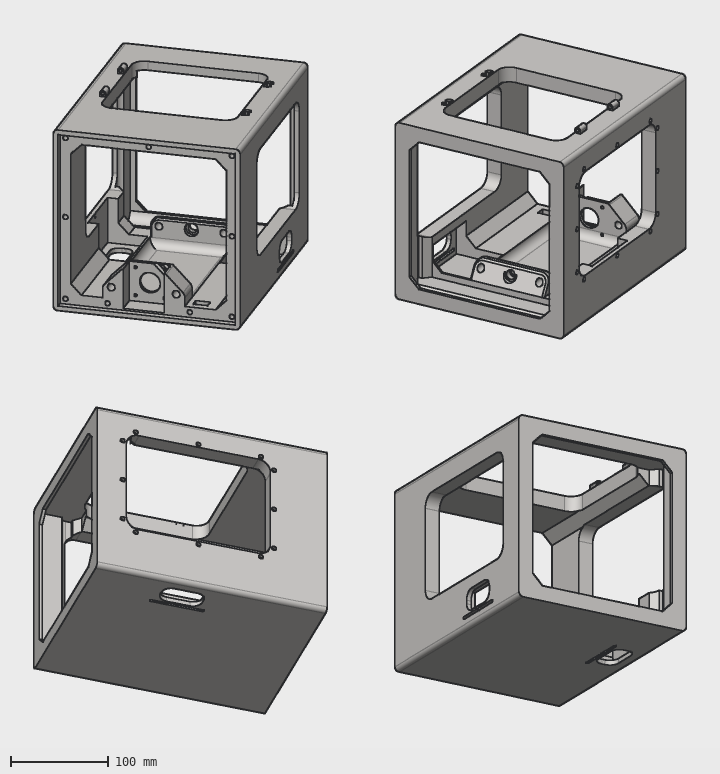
import cadquery as cq

WIDTH, LENGTH, HEIGHT = 200.0, 250.0, 200.0
EDGE_ROUND = 5.0
WALL = 16.8
SKIN = 5.2
TUNNEL_CHAMFER = 11.5
FRONT_RECESS = 7.5

CHAMBER_START = 203.5
CHAMBER_END = 246.2
CHAMBER_WALL = 11.0
CHAMBER_ROOF = 10.0
CHAMBER_FLARE = 7.5
RELIEF_END = 223.0
RELIEF_ROUND = 5.5
CHAMBER_FLOOR = 9.5
GROOVE_START, GROOVE_LOW_Y = 225.8, 233.5
GROOVE_DEPTH = 2.5

WINDOW_ROUND = 13.5
TOP_WINDOW = (145.0, 134.5)
TOP_WINDOW_Y = 140.8
SIDE_WINDOW = (156.5, 117.5)
SIDE_Y, SIDE_Z = 140.0, 113.8
SIDE_SCREW_DIA = 4.8
SIDE_SCREW_DEPTH = 4.5
SIDE_ROW_PITCH, SIDE_ROW_Z = 68.0, 62.5
SIDE_COLUMN_PITCH, SIDE_COLUMN_Y = 48.8, 82.2

FRAME_SCREW_DIA = 5.2
FRAME_SCREW_DEPTH = 12.5
FRAME_SCREW_EDGE = 11.0
FRAME_MID_LEFT_Z = 101.5
FRAME_LOW_SPAN = 88.0

AXIS_X, AXIS_Z = 94.8, 29.2
DRIVE_WIDTH = 88.0
ROD_SPACING = 69.5
ROD_DIA = 8.0

MOUNT_END = 34.5
MOUNT_TOP = 50.8
MOUNT_TOP_WIDTH = 46.0
MOUNT_CORNER_ROUND = 7.5
MOUNT_TOP_ROUND = 2.5
MOTOR_WIDTH = 43.8
MOTOR_POCKET_FLOOR = 7.2
MOTOR_FACE_Y = 30.5
MOTOR_BOSS_DIA = 22.0
MOTOR_SCREW_DIA = 3.0
MOTOR_SCREW_SPACING = 31.0
CORNER_GROOVE_DIA = 4.0
CORNER_GROOVE_OFFSETS = (20.0, 26.8)

BLOCK_START = 182.8
BLOCK_TOP = 38.0
BLOCK_ROUND = 9.5
BLOCK_BEVEL = 1.8
BLOCK_RIDGE_END = 191.2
BLOCK_BACK_BEVEL = 2.0
SCREW_BORE = 10.0
BEARING_BORE = 14.5
BEARING_WEB = (188.0, 195.2)

TROUGH_DEPTH, TROUGH_ROUND = 10.0, 9.8
TROUGH_CLEARANCE = 2.5

PORT_SIZE = (24.0, 45.5)
PORT_ROUND = 10.0
VENT_LENGTH, VENT_DIA = 29.0, 3.0
VENT_GAP = 29.8
VENT_OFFSET = 16.0
LEFT_BAY_Y = (115.5, 182.5)
LEFT_BAY_INNER_X = 48.0
LEFT_BAY_RAMP = 5.0
LEFT_PORT_X = 25.8
RIGHT_BAY_Y = (133.8, 201.5)
RIGHT_BAY_INNER_X = 139.5
RIGHT_BAY_TOP = 45.0
RIGHT_PORT_Z = 28.2

FLOOR_POCKET_X, FLOOR_POCKET_Y = (145.0, 160.5), (16.2, 26.2)

HINGE_X, HINGE_RADIUS, HINGE_BORE = 23.8, 3.2, 3.2
HINGE_LENGTH = 13.0
HINGE_STARTS = (101.2, 167.2)
MAGNET_X, MAGNET_DIA, MAGNET_DEPTH = 177.8, 8.0, 2.0
MAGNET_PITCH = 7.8
MAGNET_PAIRS_Y = (100.0, 181.8)


def box(x, y, z):
    """Axis-aligned block from three (low, high) ranges."""
    size = [high - low for low, high in (x, y, z)]
    return cq.Workplane("XY").box(*size, centered=False).translate((x[0], y[0], z[0]))


def along_y(start):
    """Sketch plane in X and Z whose extrusions run toward +Y from `start`."""
    return cq.Workplane("XZ", origin=(0, start, 0))


def bore(x, z, diameter, start, end):
    return along_y(start).center(x, z).circle(diameter / 2).extrude(start - end)


def tunnel():
    """Chamfered square passage through the length of the box."""
    centre = (WIDTH / 2, HEIGHT / 2)
    side = WIDTH - 2 * WALL
    passage = along_y(0).center(*centre).rect(side, side).extrude(-LENGTH)
    return passage.edges("|Y").chamfer(TUNNEL_CHAMFER)


def make_shell():
    shell = box((0, WIDTH), (0, LENGTH), (0, HEIGHT)).edges("|Y").fillet(EDGE_ROUND)
    recess = box((SKIN, WIDTH - SKIN), (0, FRONT_RECESS), (SKIN, HEIGHT - SKIN))
    shell = shell.cut(recess)
    return shell.cut(tunnel()).cut(rear_chamber())


def rear_chamber():
    """Wider space behind the tunnel; its floor ends in a hollow curve rising to the rear lip."""
    roof = HEIGHT - CHAMBER_ROOF
    groove_bottom = (GROOVE_LOW_Y, CHAMBER_FLOOR - GROOVE_DEPTH)
    chamber = cq.Workplane("YZ").moveTo(CHAMBER_START, CHAMBER_FLOOR)
    chamber = chamber.lineTo(GROOVE_START, CHAMBER_FLOOR)
    chamber = chamber.threePointArc(groove_bottom, (CHAMBER_END, WALL))
    chamber = chamber.lineTo(CHAMBER_END, roof).lineTo(CHAMBER_START, roof).close()
    return chamber.extrude(WIDTH).intersect(chamber_plan())


def chamber_plan():
    """Chamber seen from above: 45-degree flare, thin walls at the windows, thicker walls behind."""
    flare_end = CHAMBER_START + CHAMBER_FLARE
    round_start = RELIEF_END - RELIEF_ROUND
    centre = WIDTH / 2
    half = cq.Workplane("XY").moveTo(centre, CHAMBER_START).lineTo(WALL, CHAMBER_START)
    half = half.lineTo(WALL - CHAMBER_FLARE, flare_end).lineTo(SKIN, flare_end)
    half = half.lineTo(SKIN, round_start)
    half = half.radiusArc((SKIN + RELIEF_ROUND, RELIEF_END), RELIEF_ROUND)
    half = half.lineTo(CHAMBER_WALL, RELIEF_END).lineTo(CHAMBER_WALL, CHAMBER_END)
    half = half.lineTo(centre, CHAMBER_END).close().extrude(HEIGHT)
    return half.union(half.mirror("YZ", (centre, 0, 0)))


def top_window():
    opening = cq.Workplane("XY", origin=(WIDTH / 2, TOP_WINDOW_Y, HEIGHT / 2))
    return opening.rect(*TOP_WINDOW).extrude(HEIGHT).edges("|Z").fillet(WINDOW_ROUND)


def side_windows():
    opening = cq.Workplane("YZ").center(SIDE_Y, SIDE_Z).rect(*SIDE_WINDOW).extrude(WIDTH)
    return opening.edges("|X").fillet(WINDOW_ROUND)


def side_screws():
    """Screw holes around the left window: three along every side."""
    rows = [(i * SIDE_ROW_PITCH, s * SIDE_ROW_Z) for i in (-1, 0, 1) for s in (-1, 1)]
    columns = [(s * SIDE_COLUMN_Y, i * SIDE_COLUMN_PITCH) for i in (-1, 0, 1) for s in (-1, 1)]
    plane = cq.Workplane("YZ").center(SIDE_Y, SIDE_Z)
    return plane.pushPoints(rows + columns).circle(SIDE_SCREW_DIA / 2).extrude(SIDE_SCREW_DEPTH)


def frame_screws():
    low, high = FRAME_SCREW_EDGE, WIDTH - FRAME_SCREW_EDGE
    middle = WIDTH / 2
    places = [(low, low), (low, high), (high, low), (high, high)]
    places += [(middle, high), (low, FRAME_MID_LEFT_Z), (high, middle)]
    places += [(middle + side * FRAME_LOW_SPAN / 2, low) for side in (-1, 1)]
    holes = along_y(0).pushPoints(places).circle(FRAME_SCREW_DIA / 2)
    return holes.extrude(-FRONT_RECESS - FRAME_SCREW_DEPTH)


def rod_bores(start, end):
    left = bore(AXIS_X - ROD_SPACING / 2, AXIS_Z, ROD_DIA, start, end)
    right = bore(AXIS_X + ROD_SPACING / 2, AXIS_Z, ROD_DIA, start, end)
    return left.union(right)


def motor_mount():
    half, half_top = DRIVE_WIDTH / 2, MOUNT_TOP_WIDTH / 2
    shoulder = MOUNT_TOP - (half - half_top)
    outline = [
        (-half, SKIN),
        (-half, shoulder),
        (-half_top, MOUNT_TOP),
        (half_top, MOUNT_TOP),
        (half, shoulder),
        (half, SKIN),
    ]
    mount = along_y(FRONT_RECESS).center(AXIS_X, 0).polyline(outline).close()
    mount = mount.extrude(FRONT_RECESS - MOUNT_END)
    margin = 2.5
    shoulders = cq.selectors.BoxSelector(
        (AXIS_X - half - margin, 0, shoulder - margin),
        (AXIS_X + half + margin, LENGTH, shoulder + margin),
    )
    mount = mount.edges("|Y").edges(shoulders).fillet(MOUNT_CORNER_ROUND)
    return mount.edges("|Y and >Z").fillet(MOUNT_TOP_ROUND)


def motor_cuts():
    half = MOTOR_WIDTH / 2
    cuts = box(
        (AXIS_X - half, AXIS_X + half), (FRONT_RECESS, MOTOR_FACE_Y), (MOTOR_POCKET_FLOOR, MOUNT_TOP)
    )
    cuts = cuts.union(bore(AXIS_X, AXIS_Z, MOTOR_BOSS_DIA, MOTOR_FACE_Y, MOUNT_END))
    for dx in (-1, 1):
        for dz in (-1, 1):
            x = AXIS_X + dx * MOTOR_SCREW_SPACING / 2
            z = AXIS_Z + dz * MOTOR_SCREW_SPACING / 2
            cuts = cuts.union(bore(x, z, MOTOR_SCREW_DIA, MOTOR_FACE_Y, MOUNT_END))
    cuts = cuts.union(corner_grooves())
    return cuts.union(rod_bores(0, MOUNT_END))


def corner_grooves():
    """Two round-bottomed diagonal grooves across the upper right corner of the motor face."""
    length = 2 * MOTOR_WIDTH
    half = MOTOR_WIDTH / 2
    grooves = cq.Workplane("XY")
    for offset in CORNER_GROOVE_OFFSETS:
        rod = cq.Workplane("YZ", origin=(-length / 2, 0, offset)).circle(CORNER_GROOVE_DIA / 2)
        grooves = grooves.add(rod.extrude(length))
    grooves = grooves.combine().rotate((0, 0, 0), (0, 1, 0), 45)
    grooves = grooves.translate((AXIS_X, MOTOR_FACE_Y, AXIS_Z))
    corner = box((AXIS_X, AXIS_X + half), (0, MOUNT_END), (AXIS_Z, MOUNT_TOP))
    return grooves.intersect(corner)


def bearing_block():
    side_profile = [
        (BLOCK_START, CHAMBER_FLOOR),
        (BLOCK_START, BLOCK_TOP),
        (BLOCK_RIDGE_END, BLOCK_TOP),
        (CHAMBER_START, WALL),
        (CHAMBER_START, CHAMBER_FLOOR),
    ]
    left = AXIS_X - DRIVE_WIDTH / 2
    block = cq.Workplane("YZ", origin=(left, 0, 0)).polyline(side_profile).close()
    block = block.extrude(DRIVE_WIDTH)
    silhouette = box((left, left + DRIVE_WIDTH), (BLOCK_START, CHAMBER_START), (0, BLOCK_TOP))
    block = block.intersect(silhouette.edges("|Y and >Z").fillet(BLOCK_ROUND))
    block = block.faces("<Y").edges("not <Z").chamfer(BLOCK_BEVEL)
    rise, run = BLOCK_TOP - WALL, CHAMBER_START - BLOCK_RIDGE_END
    slope = block.faces(cq.selectors.DirectionMinMaxSelector(cq.Vector(0, rise, run)))
    block = slope.edges("not <Z").chamfer(BLOCK_BACK_BEVEL)
    block = block.cut(bore(AXIS_X, AXIS_Z, SCREW_BORE, BLOCK_START, CHAMBER_START))
    block = block.cut(bore(AXIS_X, AXIS_Z, BEARING_BORE, BLOCK_START, BEARING_WEB[0]))
    block = block.cut(bore(AXIS_X, AXIS_Z, BEARING_BORE, BEARING_WEB[1], CHAMBER_START))
    return block.cut(rod_bores(BLOCK_START, CHAMBER_START))


def trough():
    """Round-edged hollow in the floor between the motor mount and the bearing block."""
    half = DRIVE_WIDTH / 2
    height = (WALL - TROUGH_DEPTH, WALL + TROUGH_CLEARANCE)
    hollow = box((AXIS_X - half, AXIS_X + half), (MOUNT_END, BLOCK_START), height)
    return hollow.edges("<Z").fillet(TROUGH_ROUND)


def port_and_vents(plane, depth):
    """Rounded connector port with a row of two vents; the long side runs along local Y."""
    cut = plane.rect(*PORT_SIZE).extrude(depth)
    cut = cut.edges(cq.selectors.ParallelDirSelector(plane.plane.zDir)).fillet(PORT_ROUND)
    vents = plane.pushPoints([(VENT_OFFSET, s * VENT_GAP / 2) for s in (-1, 1)])
    return cut.union(vents.slot2D(VENT_LENGTH, VENT_DIA, 90).extrude(depth))


def left_bay():
    """Pocket in the left wall and floor, open to the window, with a port through the floor."""
    start, end = LEFT_BAY_Y
    sill = SIDE_Z - SIDE_WINDOW[1] / 2
    profile = [
        (end, SKIN),
        (start, SKIN),
        (start - LEFT_BAY_RAMP, WALL),
        (start - LEFT_BAY_RAMP, sill + WINDOW_ROUND),
        (end, sill + WINDOW_ROUND),
    ]
    bay = cq.Workplane("YZ", origin=(SKIN, 0, 0)).polyline(profile).close()
    bay = bay.extrude(LEFT_BAY_INNER_X - SKIN)
    plane = cq.Workplane("XY", origin=(LEFT_PORT_X, (start + end) / 2, 0))
    return bay.union(port_and_vents(plane, SKIN))


def right_bay():
    """Pocket in the right wall and floor, with a port through the right wall."""
    start, end = RIGHT_BAY_Y
    bay = box((RIGHT_BAY_INNER_X, WIDTH - SKIN), RIGHT_BAY_Y, (SKIN, RIGHT_BAY_TOP))
    wall_plane = cq.Plane(
        origin=(WIDTH - SKIN, (start + end) / 2, RIGHT_PORT_Z), xDir=(0, 0, -1), normal=(1, 0, 0)
    )
    return bay.union(port_and_vents(cq.Workplane(wall_plane), SKIN))


def hinge(start):
    end = start + HINGE_LENGTH
    axis_z = HEIGHT + HINGE_RADIUS
    foot = box((HINGE_X - HINGE_RADIUS, HINGE_X + HINGE_RADIUS), (start, end), (HEIGHT, axis_z))
    barrel = bore(HINGE_X, axis_z, 2 * HINGE_RADIUS, start, end)
    return foot.union(barrel).cut(bore(HINGE_X, axis_z, HINGE_BORE, start, end))


def magnet_seats():
    places = [(MAGNET_X, y + s * MAGNET_PITCH / 2) for y in MAGNET_PAIRS_Y for s in (-1, 1)]
    seats = cq.Workplane("XY", origin=(0, 0, HEIGHT)).pushPoints(places)
    return seats.circle(MAGNET_DIA / 2).extrude(-MAGNET_DEPTH)


result = make_shell()
result = result.union(motor_mount()).cut(motor_cuts())
result = result.union(bearing_block())
result = result.cut(trough())
result = result.cut(left_bay()).cut(right_bay())
result = result.cut(box(FLOOR_POCKET_X, FLOOR_POCKET_Y, (MOTOR_POCKET_FLOOR, WALL)))
result = result.cut(top_window()).cut(side_windows())
result = result.cut(frame_screws())
result = result.cut(side_screws())
result = result.cut(magnet_seats())
for hinge_start in HINGE_STARTS:
    result = result.union(hinge(hinge_start))